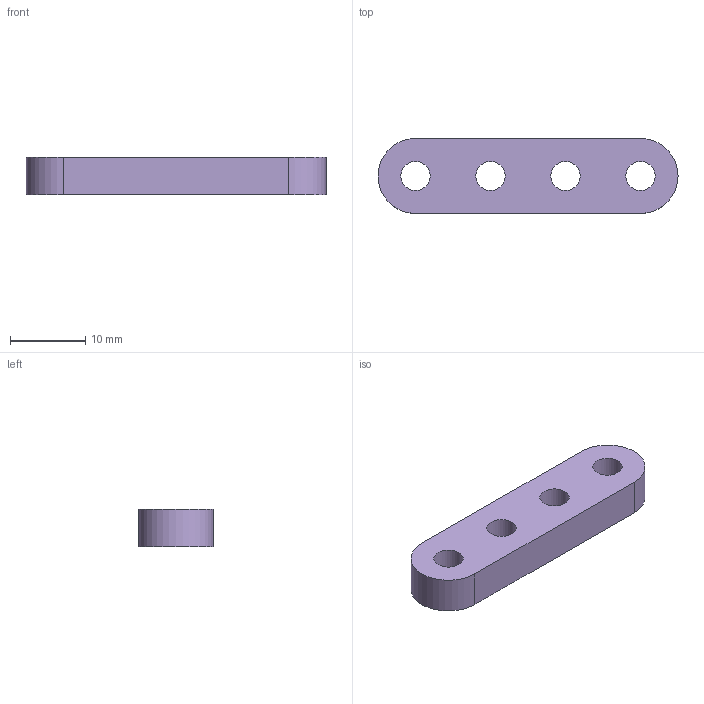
import cadquery as cq

hole_count = 4
hole_pitch = 10.0
hole_diameter = 3.9
bar_width = 10.0
bar_thickness = 5.0

end_hole_span = hole_pitch * (hole_count - 1)
bar_length = end_hole_span + bar_width


def make_bar():
    """Flat bar with full-radius ends, centred in X and Y, standing on Z = 0."""
    return cq.Workplane("XY").slot2D(bar_length, bar_width).extrude(bar_thickness)


def drill_holes(bar):
    """Row of evenly spaced through holes along the bar's centre line."""
    return (
        bar.faces(">Z")
        .workplane(origin=(0, 0, bar_thickness))
        .rarray(hole_pitch, bar_width, hole_count, 1)
        .hole(hole_diameter)
    )


result = drill_holes(make_bar())